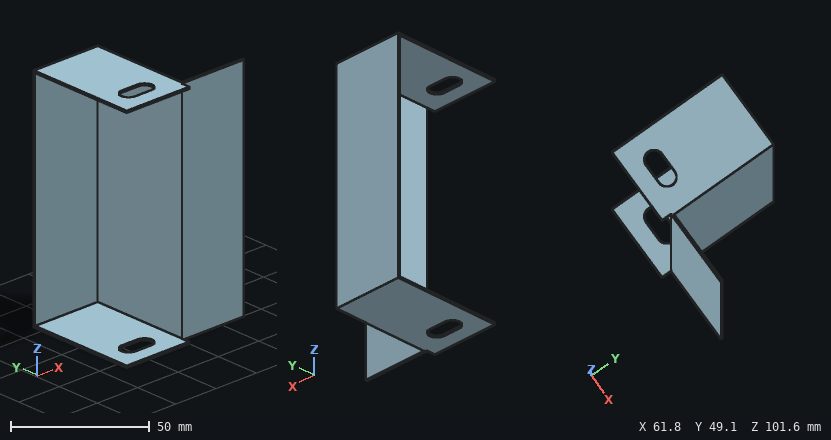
import cadquery as cq

height = 101.6
depth = 49.1
total_width = 61.8
sheet = 0.8
plate_width = 31.8
flange_front = 4.0
end_tab_width = plate_width - sheet

slot_length = 14.9
slot_width = 7.0
slot_center_x = 15.0
slot_center_y = 10.8


def block(x_min, x_max, y_min, y_max, z_min, z_max):
    """Axis-aligned box given by its limits."""
    size = (x_max - x_min, y_max - y_min, z_max - z_min)
    return cq.Workplane("XY").box(*size, centered=False).translate((x_min, y_min, z_min))


result = block(0, plate_width, depth - sheet, depth, 0, height)

for z_bottom in (0, height - sheet):
    z_top = z_bottom + sheet
    result = result.union(block(0, plate_width, flange_front, depth, z_bottom, z_top))
    result = result.union(block(0, end_tab_width, 0, flange_front, z_bottom, z_top))

result = result.union(block(end_tab_width, plate_width, flange_front, depth, 0, height))

result = result.union(
    block(end_tab_width, total_width, flange_front, flange_front + sheet, 0, height)
)

slot_cutter = (
    cq.Workplane("XY")
    .center(slot_center_x, slot_center_y)
    .slot2D(slot_length, slot_width)
    .extrude(height)
)
result = result.cut(slot_cutter)